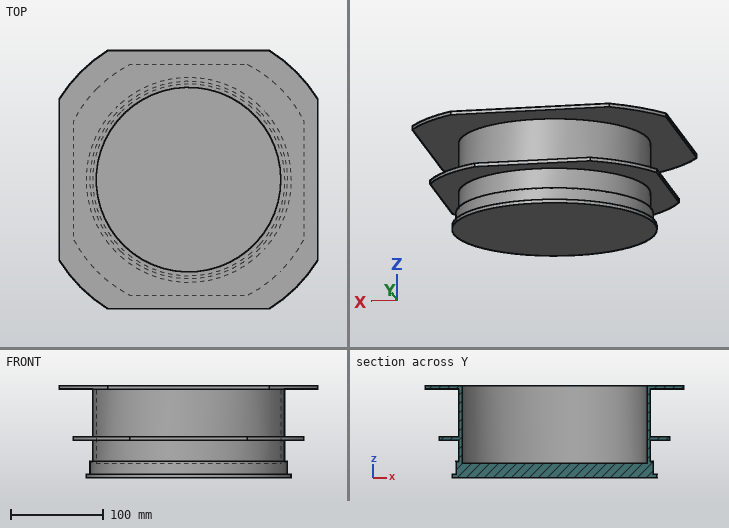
import cadquery as cq

total_height = 100.0
plate_thickness = 4.0

tube_diameter = 208.0
bore_diameter = 200.0
bore_depth = 84.0

collar_diameter = 214.0
collar_top = 18.0
foot_diameter = 222.0

top_plate_width = 280.0
top_plate_corner_diameter = 330.0
middle_plate_width = 250.0
middle_plate_corner_diameter = 280.5
middle_plate_top = 44.5


def disc(diameter, height):
    """Cylinder on the tube axis, standing on the base plane."""
    return cq.Workplane("XY").circle(diameter / 2).extrude(height)


def corner_rounded_plate(width, corner_diameter, top):
    """Square plate trimmed to a circle, with its upper face at the given height."""
    square = cq.Workplane("XY").rect(width, width).extrude(plate_thickness)
    plate = square.intersect(disc(corner_diameter, plate_thickness))
    return plate.translate((0, 0, top - plate_thickness))


body = disc(tube_diameter, total_height)
body = body.union(disc(collar_diameter, collar_top))
body = body.union(disc(foot_diameter, plate_thickness))

body = body.union(corner_rounded_plate(top_plate_width, top_plate_corner_diameter, total_height))
body = body.union(corner_rounded_plate(middle_plate_width, middle_plate_corner_diameter, middle_plate_top))

bore = disc(bore_diameter, bore_depth).translate((0, 0, total_height - bore_depth))
result = body.cut(bore)